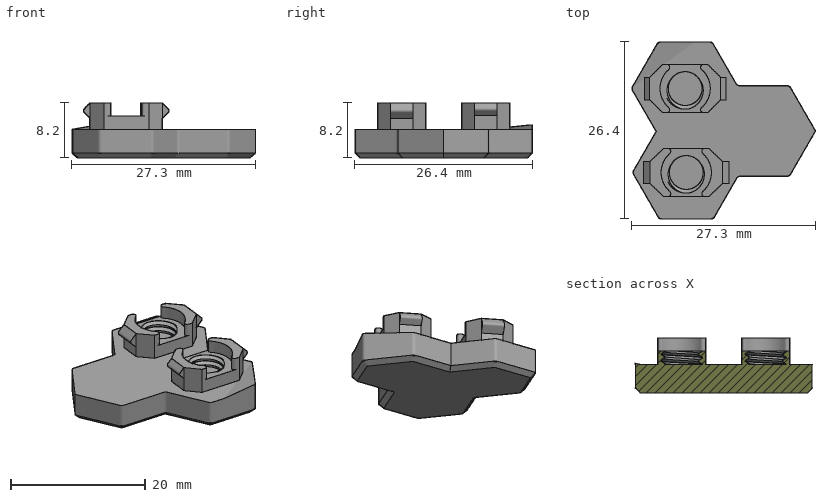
import cadquery as cq
import math

single_apothem = 6.75
pair_apothem = 6.95
upper_centre = (-11.62, 6.3)
lower_centre = (-11.45, -6.18)
plate_height = 4.25
plate_chamfer = 0.75
corner_radius = 0.6
sharp_corner_zone = 2.73

patch_rise = 0.7
patch_end_offset = 1.48

clip_width = 7.2
clip_side_length = 6.7
clip_end_width = 3.33
clip_top = 8.2
clip_seat = 6.29
upper_clip_length = 10.55
lower_clip_length = 10.75
arm_arc_radius = 3.75
arm_tip_radius = 0.45

upper_hook_height = 1.85
lower_hook_height = 2.32
hook_nose_radius = 0.38

thread_minor_radius = 5.03 / 2
thread_major_radius = 6.15 / 2
thread_pitch = 1.0
thread_root_width = 0.05
thread_flank_angle = 30
thread_start_angle = -90
groove_inset = 0.15
socket_floor = 4.25

clearance = 54.65
overlap = 0.27


def circumradius(apothem):
    return apothem / math.cos(math.pi / 6)


def hexagons(height):
    """Merged hexagonal prisms, each with two corners along X, with sharp corners."""
    prism = cq.Workplane("XY").polygon(6, 2 * circumradius(single_apothem)).extrude(height)
    for centre in (upper_centre, lower_centre):
        pair_hexagon = (
            cq.Workplane("XY").center(*centre)
            .polygon(6, 2 * circumradius(pair_apothem)).extrude(height)
        )
        prism = prism.union(pair_hexagon)
    return prism


def space_above_plate():
    """Everything to clear above the plate: flat, but rising beyond the fold of the patch."""
    centre_x, centre_y = upper_centre
    side_length = circumradius(pair_apothem)
    fold_start = cq.Vector(centre_x - side_length, centre_y, plate_height)
    fold_end = cq.Vector(centre_x + patch_end_offset, centre_y + pair_apothem, plate_height)
    corner = cq.Vector(centre_x - side_length / 2, centre_y + pair_apothem, plate_height)
    fold = fold_end - fold_start
    outward = cq.Vector(-fold.y, fold.x, 0).normalized()
    reach = (corner - fold_start).dot(outward)
    profile = [
        (-clearance, 0),
        (0, 0),
        (2 * reach, 2 * patch_rise),
        (2 * reach, clearance),
        (-clearance, clearance),
    ]
    across_fold = cq.Plane(origin=fold_start, xDir=outward, normal=fold)
    return cq.Workplane(across_fold).polyline(profile).close().extrude(clearance, both=True)


def plate():
    """Hexagons with a chamfered underside, rounded corners and the sloped patch on top."""
    body = hexagons(plate_height + patch_rise).faces("<Z").chamfer(plate_chamfer)
    corners = [edge for edge in body.edges("not #Z").vals() if abs(edge.Center().y) > sharp_corner_zone]
    body = body.newObject(corners).fillet(corner_radius)
    return body.cut(space_above_plate())


def hook(clip_length, height):
    """Triangular ridge with a rounded nose on the +X end of a clip, flush with its top."""
    end_x = clip_length / 2
    profile = [
        (end_x - overlap, clip_top),
        (end_x, clip_top),
        (end_x + height / 2, clip_top - height / 2),
        (end_x, clip_top - height),
        (end_x - overlap, clip_top - height),
    ]
    ridge = cq.Workplane("XZ").polyline(profile).close().extrude(clip_end_width / 2, both=True)
    return ridge.edges(">X").fillet(hook_nose_radius)


def clip(length, hook_height):
    """Octagonal block opened by a round recess into two arms, with a hook on each end."""
    base = plate_height - overlap
    side_x, side_y = clip_side_length / 2, clip_width / 2
    end_x, end_y = length / 2, clip_end_width / 2
    octagon = [
        (end_x, -end_y), (end_x, end_y), (side_x, side_y), (-side_x, side_y),
        (-end_x, end_y), (-end_x, -end_y), (-side_x, -side_y), (side_x, -side_y),
    ]
    body = cq.Workplane("XY", origin=(0, 0, base)).polyline(octagon).close().extrude(clip_top - base)
    recess = cq.Workplane("XY", origin=(0, 0, clip_seat)).circle(arm_arc_radius).extrude(clip_top)
    body = body.cut(recess)
    arm_tips = cq.selectors.BoxSelector(
        (-side_x + overlap, -clip_width, clip_seat),
        (side_x - overlap, clip_width, clip_top),
    )
    body = body.edges("|Z").edges(arm_tips).fillet(arm_tip_radius)
    ridge = hook(length, hook_height)
    return body.union(ridge).union(ridge.mirror("YZ"))


def threaded_socket():
    """Blind bore with a right-hand helical groove that runs out at the seat."""
    depth = clip_seat - socket_floor
    floor = cq.Workplane("XY", origin=(0, 0, socket_floor))
    bore = floor.circle(thread_minor_radius).extrude(depth)

    turns_below = math.ceil(depth / thread_pitch) + 1
    helix_height = (turns_below + 1) * thread_pitch
    helix = cq.Wire.makeHelix(thread_pitch, helix_height, thread_minor_radius)
    inner_radius = thread_minor_radius - groove_inset
    root = thread_root_width / 2
    flank_rise = (thread_major_radius - inner_radius) * math.tan(math.radians(thread_flank_angle))
    profile = [
        (inner_radius, -root - flank_rise),
        (thread_major_radius, -root),
        (thread_major_radius, root),
        (inner_radius, root + flank_rise),
    ]
    groove = cq.Workplane("XZ").polyline(profile).close().sweep(cq.Workplane(helix), isFrenet=True)
    groove = groove.rotate((0, 0, 0), (0, 0, 1), thread_start_angle)
    groove = groove.translate((0, 0, clip_seat - turns_below * thread_pitch))
    envelope = floor.circle(thread_major_radius + overlap).extrude(depth)
    return bore.union(groove.intersect(envelope))


result = plate()
socket = threaded_socket()
for centre, length, hook_height in (
    (upper_centre, upper_clip_length, upper_hook_height),
    (lower_centre, lower_clip_length, lower_hook_height),
):
    result = result.union(clip(length, hook_height).translate((*centre, 0)))
    result = result.cut(socket.translate((*centre, 0)))